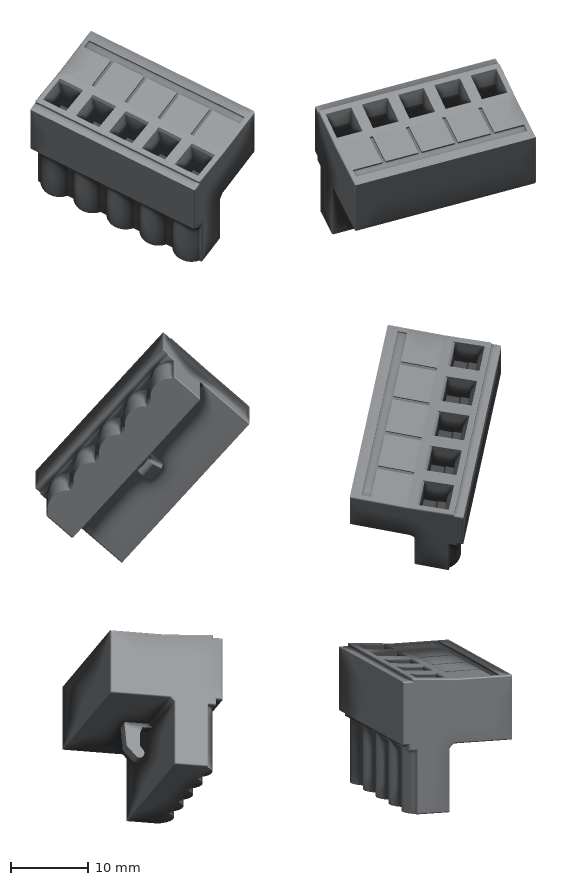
import cadquery as cq


pole_count = 5
pole_pitch = 5.0
length = pole_count * pole_pitch
pole_centers = [(i + 0.5) * pole_pitch for i in range(pole_count)]

depth = 15.0
height = 18.0
top_back = 17.55
ledge_top = 17.62
ledge_depth = 1.25
crest_back = 1.35
incline_back = 7.5
head_bottom_front = 9.25
head_bottom_back = 9.02
band_front = 0.82
band_bottom = 8.45
leg_front = 1.9
leg_back = 6.45
leg_bevel = 0.55
end_fillet = 0.2

column_width = 4.1
column_depth = leg_front - band_front

pocket_width = 3.52
pocket_front = 2.05
pocket_back = 6.28
well_width = 2.75
well_front = 2.75
well_back = 5.98
taper_depth = 2.0
well_bottom = 12.5
floor_step = 0.28
floor_step_front = 4.02

groove_depth = 0.28
groove_margin = 0.7
groove_front = 12.3
groove_back = 13.55
channel_width = 0.45

latch_width = 2.0
latch_root_top = 9.5
latch_root_bottom = 8.5
latch_root_back = 10.22
latch_bend_y = 9.88
latch_bend_z = 5.82
latch_throat_y = 8.1
latch_throat_low = 5.95
latch_throat_high = 7.65
latch_throat_top_y = 7.75
latch_nose_start = (8.48, 4.38)
latch_nose_middle = (7.52, 4.82)
latch_nose_end = (7.65, 5.4)


def make_housing():
    outline = [
        (leg_front, 0),
        (leg_back, 0),
        (leg_back, head_bottom_back - leg_bevel),
        (leg_back + leg_bevel, head_bottom_back),
        (depth, head_bottom_back),
        (depth, top_back),
        (incline_back, top_back),
        (crest_back, height),
        (ledge_depth, height),
        (ledge_depth, ledge_top),
        (0, ledge_top),
        (0, head_bottom_front),
        (band_front, head_bottom_front),
        (band_front, band_bottom),
        (leg_front, band_bottom),
    ]
    housing = cq.Workplane("YZ").polyline(outline).close().extrude(length)
    return housing.faces("<X or >X").edges().fillet(end_fillet)


def make_column(center_x):
    half_width = column_width / 2
    return (
        cq.Workplane("XY")
        .moveTo(center_x - half_width, leg_front)
        .threePointArc((center_x, leg_front - column_depth), (center_x + half_width, leg_front))
        .lineTo(center_x + half_width, leg_front + column_depth)
        .lineTo(center_x - half_width, leg_front + column_depth)
        .close()
        .extrude(band_bottom)
    )


def incline_height(y):
    slope = (height - top_back) / (incline_back - crest_back)
    return top_back + slope * (incline_back - y)


def mouth_outline(center_x, width, front, drop):
    front_z = incline_height(front) - drop
    back_z = incline_height(well_back) - drop
    left = center_x - width / 2
    right = center_x + width / 2
    corners = [
        (left, front, front_z),
        (right, front, front_z),
        (right, well_back, back_z),
        (left, well_back, back_z),
    ]
    return cq.Wire.makePolygon([cq.Vector(*corner) for corner in corners], close=True)


def make_pocket(center_x):
    rim = mouth_outline(center_x, pocket_width, pocket_front, 0)
    bottom = mouth_outline(center_x, well_width, well_front, taper_depth)
    mouth = cq.Workplane(cq.Solid.makeLoft([rim, bottom], True))
    bevel_width = pocket_back - well_back
    bevel_top = incline_height(pocket_back)
    bevel = (
        cq.Workplane("YZ", origin=(center_x, 0, 0))
        .moveTo(well_back, bevel_top - bevel_width)
        .lineTo(pocket_back, bevel_top)
        .lineTo(pocket_back, height)
        .lineTo(well_back, height)
        .close()
        .extrude(pocket_width / 2, both=True)
    )
    well = (
        cq.Workplane("YZ", origin=(center_x, 0, 0))
        .moveTo(well_front, incline_height(well_front) - taper_depth)
        .lineTo(well_front, well_bottom + floor_step)
        .lineTo(floor_step_front, well_bottom + floor_step)
        .lineTo(floor_step_front + floor_step, well_bottom)
        .lineTo(well_back, well_bottom)
        .lineTo(well_back, incline_height(well_back) - taper_depth)
        .close()
        .extrude(well_width / 2, both=True)
    )
    return mouth.union(bevel).union(well)


def make_marking_recess():
    floor = top_back - groove_depth
    recess = cq.Workplane("XY").box(
        length - 2 * groove_margin, groove_back - groove_front, groove_depth, centered=False
    ).translate((groove_margin, groove_front, floor))
    for i in range(1, pole_count):
        channel = cq.Workplane("XY").box(
            channel_width, groove_front - incline_back, groove_depth, centered=False
        ).translate((i * pole_pitch - channel_width / 2, incline_back, floor))
        recess = recess.union(channel)
    return recess


def make_latch(center_x):
    return (
        cq.Workplane("YZ", origin=(center_x, 0, 0))
        .moveTo(leg_back, latch_root_top)
        .lineTo(latch_root_back, latch_root_top)
        .lineTo(latch_bend_y, latch_bend_z)
        .lineTo(*latch_nose_start)
        .threePointArc(latch_nose_middle, latch_nose_end)
        .lineTo(latch_throat_y, latch_throat_low)
        .lineTo(latch_throat_y, latch_throat_high)
        .lineTo(latch_throat_top_y, latch_root_bottom)
        .lineTo(leg_back, latch_root_bottom)
        .close()
        .extrude(latch_width / 2, both=True)
    )


result = make_housing().cut(make_marking_recess()).union(make_latch(length / 2))
for x in pole_centers:
    result = result.union(make_column(x)).cut(make_pocket(x))